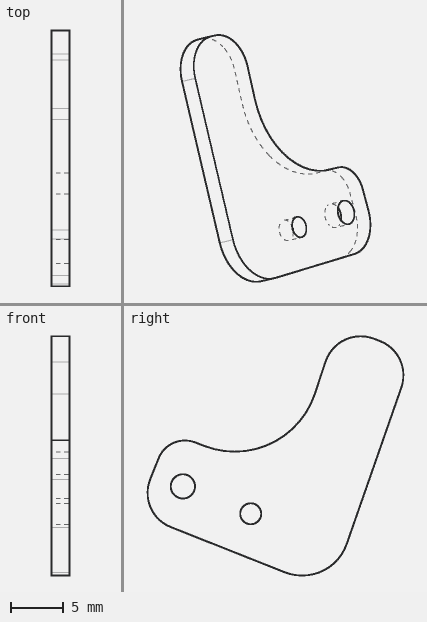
import cadquery as cq

thickness = 1.75

heel = (5.23, -12.8)
toe_bottom = (-13.22, -5.5)
toe_top = (-10.11, 2.24)
inner_elbow = (1.07, -2.11)
arm_tip_inner = (5.9, 12.45)
arm_tip_outer = (13.08, 9.68)
rounded_corners = [
    (heel, 4.5),
    (toe_bottom, 3.5),
    (toe_top, 2.7),
    (inner_elbow, 8.0),
    (arm_tip_inner, 3.52),
    (arm_tip_outer, 3.5),
]

holes = [
    ((-8.8, -2.92), 2.29),
    ((-2.35, -5.52), 1.97),
]


def make_plate():
    """Extrude the sharp outline evenly about X = 0 and round its corners."""
    corner_points = [point for point, radius in rounded_corners]
    plate = cq.Workplane("YZ").polyline(corner_points).close().extrude(thickness / 2, both=True)
    for (y, z), radius in rounded_corners:
        corner_edge = cq.selectors.NearestToPointSelector((0, y, z))
        plate = plate.edges("|X").edges(corner_edge).fillet(radius)
    return plate


def cut_holes(plate):
    """Drill the holes through the full thickness."""
    for centre, diameter in holes:
        drill_start = cq.Workplane("YZ", origin=(-thickness / 2, 0, 0))
        drill = drill_start.center(*centre).circle(diameter / 2).extrude(thickness)
        plate = plate.cut(drill)
    return plate


result = cut_holes(make_plate())